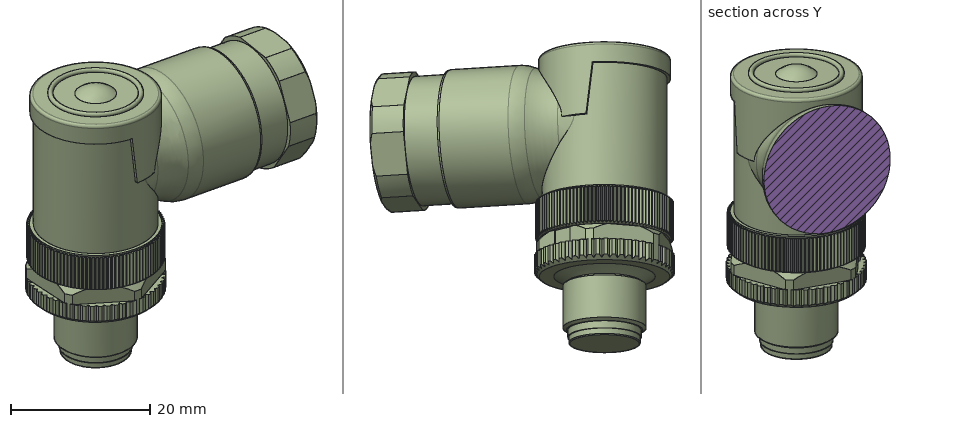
import cadquery as cq
import math


total_height = 43.7
outlet_length = 32.44
overlap = 0.2
knurl_allowance = 0.1

tip_radius = 5.15
tip_edge = 0.15
tip_top = 0.95
collar_radius = 5.3
thread_radius = 6.0
thread_root_radius = 5.5
thread_bottom = 2.0
thread_top = 9.0
thread_chamfer_height = 0.35
flare_radius = 7.3
flare_mid_radius = 6.3
flare_mid_z = 9.5

nut_radius = 10.1
coarse_bottom = 10.0
coarse_top = 13.0
coarse_count = 54
coarse_root_radius = 9.7
coarse_land = 0.3
wide_tooth_width = 1.15
coarse_bottom_radius = 9.4
coarse_chamfer_height = 0.65
hex_top = 15.4
hex_flat = 9.03
hex_sides = 6
hex_flat_angle = 31.0
hex_chamfer_height = 0.85
hex_top_radius = 9.37
mark_width = 3.0
mark_depth = 0.2
mark_angle = hex_flat_angle + 2 * 360.0 / hex_sides
wide_tooth_angle = hex_flat_angle + 3.5 * 360.0 / hex_sides

fine_radius = 9.95
fine_root_radius = 9.6
fine_bottom_radius = 9.4
fine_shoulder_radius = 9.55
fine_count = 108
fine_land = 0
fine_top = 20.9
fine_chamfer_height = 0.35
shoulder_height = 0.25

body_radius = 9.0
cap_radius = 9.5
cap_bottom = 39.5
cap_top = 42.55
cap_fillet = 0.45
bead_inner_radius = 6.15
bead_outer_radius = 6.9
bead_height = 0.5
dome_radius = 3.0
skirt_top_y = -0.43
skirt_bottom_y = 0.49

outlet_z = 31.9
neck_radius = 8.4
neck_root_radius = 8.9
neck_end = 4.95
neck_blend_y = 9.6
neck_blend_angle = 26.0
barrel_radius = 10.0
barrel_start = 11.9
barrel_end = 22.4
barrel_chamfer_length = 0.3
barrel_chamfer_depth = 0.1
sleeve_radius = 9.35
gland_start = 27.4
gland_radius = 10.0
gland_flat = 9.5
gland_flat_angle = 25.0
gland_chamfer = 0.4


def ring_point(radius, degrees):
    angle = math.radians(degrees)
    return (radius * math.cos(angle), radius * math.sin(angle))


def cylinder(radius, bottom, top):
    return cq.Workplane("XY").workplane(offset=bottom).circle(radius).extrude(top - bottom)


def truncated_hexagon(flat, radius, length, flat_angle):
    """Hexagonal prism on z = 0, one flat facing flat_angle, corners turned down to a radius."""
    hexagon = cq.Workplane("XY").polygon(hex_sides, 2 * flat, circumscribed=True).extrude(length)
    hexagon = hexagon.rotate((0, 0, 0), (0, 0, 1), flat_angle)
    return hexagon.intersect(cylinder(radius, 0, length))


def turned(points):
    """Solid of revolution about Z from (radius, z) points; the ends lie on the axis."""
    return cq.Workplane("XZ").polyline(points).close().revolve(360, (0, 0, 0), (0, 1, 0))


def knurl_blank(root_radius, crest_radius, count, land, bottom, top):
    """Toothed disc with straight grooves, each land centred on a multiple of the pitch."""
    pitch = 360.0 / count
    points = []
    for tooth in range(count):
        middle = tooth * pitch
        if land > 0:
            points.append(ring_point(crest_radius, middle - land / 2 * pitch))
        points.append(ring_point(crest_radius, middle + land / 2 * pitch))
        points.append(ring_point(root_radius, middle + pitch / 2))
    return cq.Workplane("XY").workplane(offset=bottom).polyline(points).close().extrude(top - bottom)


def make_stem():
    chamfer_top = thread_bottom + thread_chamfer_height
    chamfer_bottom = thread_top - thread_chamfer_height
    return (
        cq.Workplane("XZ")
        .moveTo(0, 0)
        .lineTo(tip_radius - tip_edge, 0)
        .lineTo(tip_radius, tip_edge)
        .lineTo(tip_radius, tip_top)
        .lineTo(collar_radius, tip_top)
        .lineTo(collar_radius, thread_bottom)
        .lineTo(thread_root_radius, thread_bottom)
        .lineTo(thread_radius, chamfer_top)
        .lineTo(thread_radius, chamfer_bottom)
        .lineTo(thread_root_radius, thread_top)
        .threePointArc((flare_mid_radius, flare_mid_z), (flare_radius, coarse_bottom))
        .lineTo(0, coarse_bottom)
        .close()
        .revolve(360, (0, 0, 0), (0, 1, 0))
    )


def make_coarse_knurl():
    crest_radius = nut_radius + knurl_allowance
    knurl = knurl_blank(
        coarse_root_radius, crest_radius, coarse_count, coarse_land, coarse_bottom, coarse_top
    )
    wide_tooth = (
        cq.Workplane("XY")
        .box(crest_radius, wide_tooth_width, coarse_top - coarse_bottom, centered=(False, True, False))
        .translate((0, 0, coarse_bottom))
    )
    knurl = knurl.rotate((0, 0, 0), (0, 0, 1), wide_tooth_angle)
    wide_tooth = wide_tooth.rotate((0, 0, 0), (0, 0, 1), wide_tooth_angle)
    envelope = turned([
        (0, coarse_bottom),
        (coarse_bottom_radius, coarse_bottom),
        (nut_radius, coarse_bottom + coarse_chamfer_height),
        (nut_radius, coarse_top),
        (0, coarse_top),
    ])
    return knurl.union(wide_tooth).intersect(envelope)


def make_hexagon():
    height = hex_top - coarse_top
    hexagon = truncated_hexagon(hex_flat, nut_radius, height, hex_flat_angle)
    mark = (
        cq.Workplane("XY")
        .box(2 * mark_depth, mark_width, height, centered=(True, True, False))
        .translate((hex_flat, 0, 0))
        .rotate((0, 0, 0), (0, 0, 1), mark_angle)
    )
    envelope = turned([
        (0, 0),
        (nut_radius, 0),
        (nut_radius, height - hex_chamfer_height),
        (hex_top_radius, height),
        (0, height),
    ])
    return hexagon.intersect(envelope).cut(mark).translate((0, 0, coarse_top))


def make_fine_ring():
    crest_radius = fine_radius + knurl_allowance
    knurl = knurl_blank(fine_root_radius, crest_radius, fine_count, fine_land, hex_top, fine_top)
    envelope = turned([
        (0, hex_top),
        (fine_bottom_radius, hex_top),
        (fine_radius, hex_top + fine_chamfer_height),
        (fine_radius, fine_top),
        (0, fine_top),
    ])
    shoulder = cylinder(fine_shoulder_radius, fine_top, fine_top + shoulder_height)
    return knurl.intersect(envelope).union(shoulder)


def make_cap():
    cap = cylinder(cap_radius, outlet_z, cap_top).faces(">Z").edges().fillet(cap_fillet)
    front = -2 * cap_radius
    below_rim = (
        cq.Workplane("YZ")
        .polyline([
            (front, outlet_z),
            (skirt_bottom_y, outlet_z),
            (skirt_top_y, cap_bottom),
            (front, cap_bottom),
        ])
        .close()
        .extrude(2 * cap_radius, both=True)
    )
    return cap.cut(below_rim)


def make_bead():
    middle = (bead_inner_radius + bead_outer_radius) / 2
    return (
        cq.Workplane("XZ")
        .moveTo(bead_inner_radius, cap_top - overlap)
        .lineTo(bead_inner_radius, cap_top)
        .threePointArc((middle, cap_top + bead_height), (bead_outer_radius, cap_top))
        .lineTo(bead_outer_radius, cap_top - overlap)
        .close()
        .revolve(360, (0, 0, 0), (0, 1, 0))
    )


def make_dome():
    rise = total_height - cap_top
    sphere_radius = (dome_radius ** 2 + rise ** 2) / (2 * rise)
    sphere = cq.Workplane("XY").sphere(sphere_radius).translate((0, 0, total_height - sphere_radius))
    return sphere.intersect(cylinder(dome_radius, cap_top - overlap, total_height))


def make_outlet():
    """Neck, barrel and sleeve turned about Y, at the height of the outlet."""
    blend = math.radians(neck_blend_angle)
    slope = (math.cos(blend), math.sin(blend))
    blend_radius = neck_radius + (neck_blend_y - neck_end) * math.tan(blend / 2)
    chamfer_y = barrel_end - barrel_chamfer_length
    turned_outlet = (
        cq.Workplane("YX")
        .moveTo(0, 0)
        .lineTo(0, neck_root_radius)
        .lineTo(neck_end, neck_radius)
        .spline([(neck_blend_y, blend_radius)], tangents=[(1, 0), slope], includeCurrent=True)
        .spline([(barrel_start, barrel_radius)], tangents=[slope, (1, 0)], includeCurrent=True)
        .lineTo(chamfer_y, barrel_radius)
        .lineTo(barrel_end, barrel_radius - barrel_chamfer_depth)
        .lineTo(barrel_end, sleeve_radius)
        .lineTo(gland_start + overlap, sleeve_radius)
        .lineTo(gland_start + overlap, 0)
        .close()
        .revolve(360, (0, 0, 0), (1, 0, 0))
    )
    return turned_outlet.translate((0, 0, outlet_z))


def make_gland_nut():
    length = outlet_length - gland_start
    nut = truncated_hexagon(gland_flat, gland_radius, length, -gland_flat_angle)
    envelope = turned([
        (0, 0),
        (gland_radius, 0),
        (gland_radius, length - gland_chamfer),
        (gland_radius - gland_chamfer, length),
        (0, length),
    ])
    nut = nut.intersect(envelope)
    return nut.rotate((0, 0, 0), (1, 0, 0), -90).translate((0, gland_start, outlet_z))


body = cylinder(body_radius, hex_top, cap_top - overlap)

result = (
    make_stem()
    .union(make_coarse_knurl())
    .union(make_hexagon())
    .union(body)
    .union(make_fine_ring())
    .union(make_outlet())
    .union(make_gland_nut())
    .union(make_cap())
    .union(make_bead())
    .union(make_dome())
)